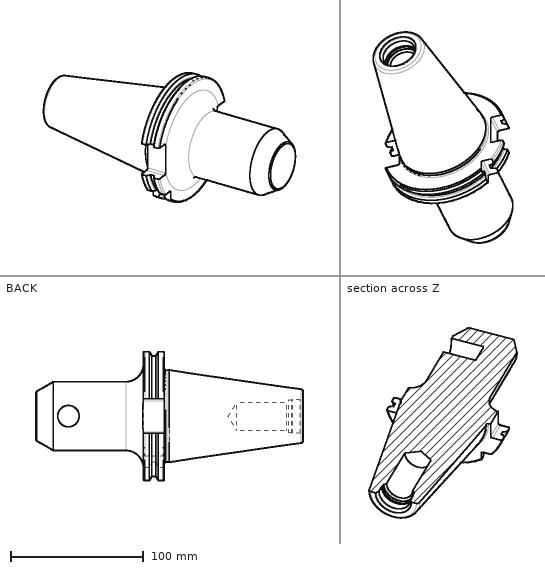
import cadquery as cq
import math

total_length = 201.5
taper_end_x = 101.0
neck_start_x = 102.2
neck_end_x = 103.6
flange_start_x = 104.6
flange_length = 16.0
flange_end_x = flange_start_x + flange_length
root_fillet = 13.1
shank_start_x = flange_end_x + root_fillet
nose_cone_x = 188.5

small_end_radius = 20.2
small_end_fillet = 2.0
taper_slope = 3.5 / 24
taper_end_radius = small_end_radius + taper_slope * taper_end_x
neck_depth = 0.2
neck_radius = taper_end_radius - neck_depth
neck_fillet = flange_start_x - neck_end_x
flange_diameter = 97.4
flange_radius = flange_diameter / 2
flange_rim_fillet = 1.0
shank_radius = 26.0
nose_cone_angle = 30.0
nose_radius = shank_radius - (total_length - nose_cone_x) * math.tan(math.radians(nose_cone_angle))
nose_chamfer = 0.8

groove_center_x = flange_start_x + flange_length / 2
groove_floor_radius = 45.5
groove_wall_radius = 46.8
groove_wall_half_width = 2.0
groove_mouth_half_width = 3.5
groove_floor_half_width = 1.6

slot_width = 26.0
slot_half_width = slot_width / 2
front_slot_floor = 37.5
back_slot_floor = 35.5
notch_y = -29.8
notch_z = -30.0
corner_fillet = 1.5

bore_mouth_radius = 14.5
bore_lip_radius = 14.1
bore_lip_depth = 0.5
countersink_depth = 2.6
pilot_radius = 12.7
pilot_depth = 8.3
relief_radius = 12.3
relief_start_x = 9.0
relief_end_x = 11.3
thread_mouth_radius = 12.0
thread_start_x = 13.0
thread_radius = 10.5
thread_depth = 50.5
drill_tip_angle = 118.0

screw_x = 177.0
screw_radius = 8.0


def make_body():
    """Revolve the outside of the holder around the X axis."""
    body = (
        cq.Workplane("XY")
        .polyline(
            [
                (0, 0),
                (0, small_end_radius),
                (taper_end_x, taper_end_radius),
                (neck_start_x, neck_radius),
                (neck_end_x, neck_radius),
            ]
        )
        .radiusArc((flange_start_x, neck_radius + neck_fillet), -neck_fillet)
        .lineTo(flange_start_x, flange_radius)
        .lineTo(flange_end_x, flange_radius)
        .lineTo(flange_end_x, shank_radius + root_fillet)
        .radiusArc((shank_start_x, shank_radius), -root_fillet)
        .lineTo(nose_cone_x, shank_radius)
        .lineTo(total_length, nose_radius)
        .lineTo(total_length, 0)
        .close()
        .revolve(360, (0, 0, 0), (1, 0, 0))
    )
    body = body.faces("<X").edges().fillet(small_end_fillet)
    body = body.faces(">X").edges().chamfer(nose_chamfer)
    largest_circles = cq.selectors.RadiusNthSelector(-1)
    return body.edges("%CIRCLE").edges(largest_circles).fillet(flange_rim_fillet)


def make_groove():
    """Ring cutter: steep walls at the floor, opening into a flared mouth."""
    return (
        cq.Workplane("XY")
        .polyline(
            [
                (groove_center_x - groove_mouth_half_width, flange_radius),
                (groove_center_x - groove_wall_half_width, groove_wall_radius),
                (groove_center_x - groove_floor_half_width, groove_floor_radius),
                (groove_center_x + groove_floor_half_width, groove_floor_radius),
                (groove_center_x + groove_wall_half_width, groove_wall_radius),
                (groove_center_x + groove_mouth_half_width, flange_radius),
            ]
        )
        .close()
        .revolve(360, (0, 0, 0), (1, 0, 0))
    )


def edge_block(y_inner, y_outer, z_low, z_high):
    """Cutter spanning the flange and its root fillet, with its inner corners rounded."""
    block = cq.Workplane("XY").box(
        shank_start_x - flange_start_x,
        abs(y_outer - y_inner),
        z_high - z_low,
        centered=False,
    )
    block = block.translate((flange_start_x, min(y_inner, y_outer), z_low))
    inner_side = "<Y" if y_outer > y_inner else ">Y"
    return block.faces(inner_side).edges("|X").fillet(corner_fillet)


def make_drawbar_bore():
    """Countersunk pilot bore, short relief, chamfered thread hole and drill tip."""
    tip_length = thread_radius / math.tan(math.radians(drill_tip_angle / 2))
    return (
        cq.Workplane("XY")
        .polyline(
            [
                (0, 0),
                (0, bore_mouth_radius),
                (bore_lip_depth, bore_lip_radius),
                (countersink_depth, pilot_radius),
                (pilot_depth, pilot_radius),
                (relief_start_x, relief_radius),
                (relief_end_x, relief_radius),
                (relief_end_x, thread_mouth_radius),
                (thread_start_x, thread_radius),
                (thread_depth, thread_radius),
                (thread_depth + tip_length, 0),
            ]
        )
        .close()
        .revolve(360, (0, 0, 0), (1, 0, 0))
    )


def make_screw_hole():
    """Radial hole from the +Y side down to the axis."""
    return (
        cq.Workplane("XZ", origin=(screw_x, 0, 0))
        .circle(screw_radius)
        .extrude(-shank_radius)
    )


result = (
    make_body()
    .cut(make_groove())
    .cut(edge_block(-front_slot_floor, -flange_radius, -slot_half_width, slot_half_width))
    .cut(edge_block(back_slot_floor, flange_radius, -slot_half_width, slot_half_width))
    .cut(edge_block(notch_y, -flange_radius, -flange_radius, notch_z))
    .cut(make_drawbar_bore())
    .cut(make_screw_hole())
)